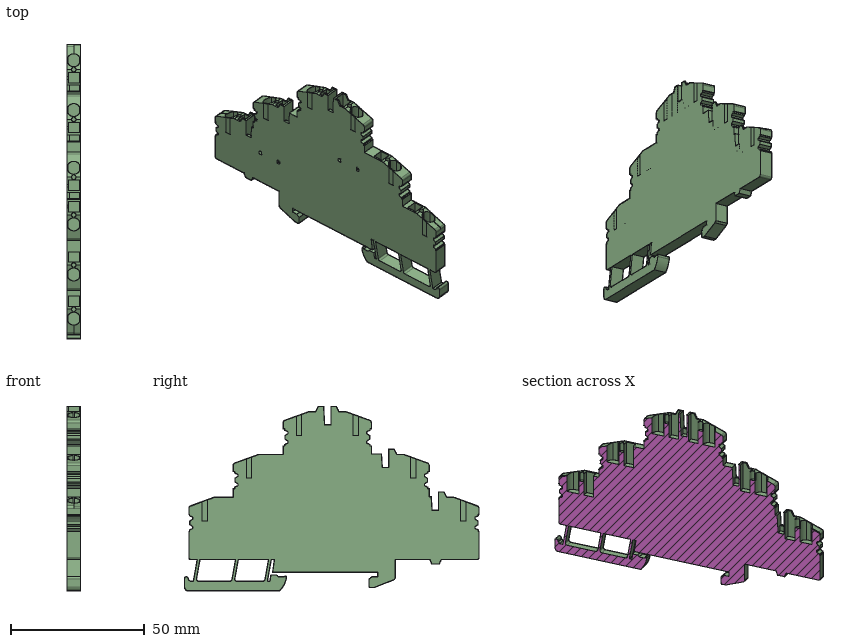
import cadquery as cq


THICKNESS = 5.1
LENGTH = 110.2
HEIGHT = 69.0
HALF_LENGTH = LENGTH / 2

BUMP_HEIGHT = 2.0
TIER_PITCH = 16.0
TIER_TOPS = [HEIGHT - BUMP_HEIGHT - TIER_PITCH * step for step in (2, 1, 0)]
LEFT_BREAKS = [45.6, 27.0, 5.4]
RIGHT_BREAKS = [-44.0, -27.4, -8.7]

SLOPE_RUN = 9.5
SLOPE_DROP = 3.4
TIER_CORNER_RADIUS = 1.1

TOOTH_DROP = 9.6
TOOTH_TIP_HALF = 0.7
TOOTH_ROOT_HALF = 1.4
GROOVE_HALF = 2.1
STEP_HALF = 2.6
MOUTH_HALF = 3.2
STEP_INSET = 0.5
TOOTH_INSET = 0.7
GROOVE_DEPTH = 1.8
BOTTOM_TIER_SHIFT = 0.3

BUMP_START = 2.6
BUMP_SHOULDER = 3.6
BUMP_END = 5.7
SLOT_DEPTH = 6.8
SLOT_WIDTH = 2.3
SLOT_FLARE = 0.3
WALL_FOOT_RISE = 0.2

BASE_Z = 11.7
BODY_BOTTOM_Z = 6.9
BASE_CORNER_RADIUS = 0.8
RIGHT_END_Y = RIGHT_BREAKS[0] - SLOPE_RUN

RAIL_TOP_Z = 3.6
LEG_TOPS = [-22.6, -34.9, -49.2]
LEG_LEAN = 1.4
LEG_WIDTH = 1.1
WINDOW_FILLET = 0.8
SELECT_MARGIN = 0.1

ENTRY_WIDTH = 4.4
ENTRY_DIAMETER = 4.8
ENTRY_OFFSET = 3.5
ENTRY_DEPTH = 8.8
TEST_HOLE_DIAMETER = 1.7
TEST_HOLE_DEPTH = 3.3
SLIT_WIDTH = 0.4
POCKET_START = 1.1
POCKET_LENGTH = 3.9
POCKET_DEPTH = 8.8
POCKET_X_MIN = -1.9
POCKET_X_MAX = 2.1
SLOT_POCKET_X_MIN = -1.5
SLOT_POCKET_DEPTH = 2.2

STEEP_X_MIN = 0.1
STEEP_DROP = 3.6
STEEP_CORNER_RADIUS = 0.8

RECESS_RADIUS = 0.7
RECESS_DEPTH = 1.1
RECESS_PAIRS = [(28.5, 25.2), (-10.4, 41.2)]
RECESS_SPACING = 8.9
RECESS_FLAT = 0.5


def tier_end(break_y, top, outward, groove_shift):
    """Outer end of a tier from below its grooves up to its break; outward is +1 or -1."""
    edge = SLOPE_RUN
    groove = edge - GROOVE_DEPTH + groove_shift
    tooth = edge - TOOTH_INSET + groove_shift
    step = edge - STEP_INSET + groove_shift
    half_grip = [
        (edge, MOUTH_HALF),
        (step, MOUTH_HALF),
        (step, STEP_HALF),
        (groove, GROOVE_HALF),
        (groove, TOOTH_ROOT_HALF),
        (tooth, TOOTH_TIP_HALF),
    ]
    run_and_drop = [(run, TOOTH_DROP + offset) for run, offset in half_grip]
    run_and_drop += [(run, TOOTH_DROP - offset) for run, offset in reversed(half_grip)]
    run_and_drop += [(edge, SLOPE_DROP), (0, 0)]
    return [(break_y + outward * run, top - drop) for run, drop in run_and_drop]


def bump(break_y, top, outward):
    """Raised bump beside a slot, from its foot to the slot wall."""
    return [
        (break_y - outward * BUMP_START, top),
        (break_y - outward * BUMP_SHOULDER, top + BUMP_HEIGHT),
        (break_y - outward * BUMP_END, top + BUMP_HEIGHT),
    ]


def slot_wall_y(break_y):
    """Y of the slot wall that belongs to the bump of a left-hand tier."""
    return break_y - BUMP_END


def slot_floor_z(top):
    """Height of the slot floor beside a tier shelf."""
    return top + BUMP_HEIGHT - SLOT_DEPTH


def left_side():
    """Outline from the left base corner up over the three tiers to the floor of the top slot."""
    points = [(HALF_LENGTH, BASE_Z)]
    for level, (break_y, top) in enumerate(zip(LEFT_BREAKS, TIER_TOPS)):
        points += tier_end(break_y, top, 1, BOTTOM_TIER_SHIFT if level == 0 else 0)
        points += bump(break_y, top, 1)
        wall_y = slot_wall_y(break_y)
        slot_floor = slot_floor_z(top)
        points += [(wall_y, slot_floor), (wall_y - SLOT_WIDTH, slot_floor)]
        if level < len(TIER_TOPS) - 1:
            foot_z = top + WALL_FOOT_RISE
            points.append((wall_y - SLOT_WIDTH - SLOT_FLARE, foot_z))
            points.append((LEFT_BREAKS[level + 1] + SLOPE_RUN, foot_z))
    return points


def right_side():
    """Outline from the right wall of the top slot down over the three tiers to the right base corner."""
    points = bump(RIGHT_BREAKS[-1], TIER_TOPS[-1], -1)[::-1]
    for level in reversed(range(len(TIER_TOPS))):
        shift = BOTTOM_TIER_SHIFT if level == 0 else 0
        points += tier_end(RIGHT_BREAKS[level], TIER_TOPS[level], -1, shift)[::-1]
        if level > 0:
            points.append((RIGHT_BREAKS[level] - SLOPE_RUN, TIER_TOPS[level - 1]))
    points.append((RIGHT_END_Y, BASE_Z))
    return points


def underside():
    """Bottom edge from the right end to the left: body step, fixed hook and locating lug."""
    return [
        (-21.5, BASE_Z), (-22.1, BODY_BOTTOM_Z),
        (17.2, BODY_BOTTOM_Z), (17.2, 5.3), (15.0, 5.3), (13.9, 4.3), (13.9, 1.5),
        (14.2, 1.2), (15.9, 1.2), (23.1, 4.1), (23.8, 4.7), (23.8, BASE_Z),
        (36.7, BASE_Z), (37.3, 10.0), (40.2, 10.0), (41.0, BASE_Z),
    ]


def plate(points, x_min=-THICKNESS / 2, x_max=THICKNESS / 2):
    """Prism over a closed YZ polygon between two X positions."""
    return cq.Workplane("YZ").workplane(offset=x_min).polyline(points).close().extrude(x_max - x_min)


def rail_foot():
    """Sprung rail latch with its two end hooks."""
    return (
        cq.Workplane("YZ")
        .workplane(offset=-THICKNESS / 2)
        .moveTo(-19.5, 0)
        .threePointArc((-18.0, 2.0), (-17.0, 4.5))
        .lineTo(-17.0, 5.4)
        .lineTo(-17.4, 5.6)
        .lineTo(-17.8, 5.3)
        .lineTo(-19.9, 5.3)
        .lineTo(-20.6, 6.0)
        .lineTo(-22.8, 6.0)
        .lineTo(-23.1, RAIL_TOP_Z)
        .lineTo(-52.9, RAIL_TOP_Z)
        .lineTo(-53.5, 4.2)
        .lineTo(-53.6, 4.6)
        .threePointArc((-54.3, 5.3), (-HALF_LENGTH, 4.5))
        .lineTo(-HALF_LENGTH, 1.4)
        .threePointArc((-54.7, 0.5), (-54.0, 0))
        .close()
        .extrude(THICKNESS)
    )


def leg(top_y):
    """Leaning spring leg between the body and the rail foot."""
    bottom_y = top_y - LEG_LEAN
    return plate([
        (top_y, BASE_Z), (bottom_y, RAIL_TOP_Z),
        (bottom_y - LEG_WIDTH, RAIL_TOP_Z), (top_y - LEG_WIDTH, BASE_Z),
    ])


def round_corners(solid, corners, radius):
    """Round the X-parallel edges nearest to the given (x, y, z) points."""
    for corner in corners:
        edge = cq.selectors.NearestToPointSelector(corner)
        solid = solid.edges("|X").edges(edge).fillet(radius)
    return solid


def steep_slope_cut(break_y, outward):
    """Material removed from the +X half of a bottom-tier end above its steeper, rounded slope."""
    top = TIER_TOPS[0]
    edge_y = break_y + outward * SLOPE_RUN
    corner_z = top - STEEP_DROP
    low_z = corner_z - 2 * STEEP_CORNER_RADIUS
    kept = plate([(break_y, top), (edge_y, corner_z), (edge_y, low_z), (break_y, low_z)], STEEP_X_MIN)
    kept = round_corners(kept, [(THICKNESS / 4, edge_y, corner_z)], STEEP_CORNER_RADIUS)
    region = plate([(break_y, top), (edge_y, top), (edge_y, low_z), (break_y, low_z)], STEEP_X_MIN)
    return region.cut(kept)


def box_between(x_limits, y_limits, z_limits):
    """Box from its limits along X, Y and Z, each given as (low, high)."""
    limits = (x_limits, y_limits, z_limits)
    sizes = [high - low for low, high in limits]
    corner = tuple(low for low, high in limits)
    return cq.Workplane("XY").box(*sizes, centered=False).translate(corner)


def tier_openings(break_y, top, outward):
    """Wire entry, test hole on the break with its slit, and square pocket of one tier end."""
    entry = (
        cq.Workplane("XY", origin=(0, break_y + outward * ENTRY_OFFSET, top - ENTRY_DEPTH))
        .circle(ENTRY_DIAMETER / 2)
        .extrude(ENTRY_DEPTH)
        .intersect(cq.Workplane("XY").box(ENTRY_WIDTH, 2 * LENGTH, 2 * LENGTH))
    )
    test_hole = (
        cq.Workplane("XY", origin=(0, break_y, top - TEST_HOLE_DEPTH))
        .circle(TEST_HOLE_DIAMETER / 2)
        .extrude(TEST_HOLE_DEPTH)
    )
    entry_y = break_y + outward * ENTRY_OFFSET
    slit = box_between(
        (-SLIT_WIDTH / 2, SLIT_WIDTH / 2),
        (min(break_y, entry_y), max(break_y, entry_y)),
        (top - TEST_HOLE_DEPTH, top),
    )
    near_y = break_y - outward * POCKET_START
    far_y = near_y - outward * POCKET_LENGTH
    pocket = box_between(
        (POCKET_X_MIN, POCKET_X_MAX),
        (min(near_y, far_y), max(near_y, far_y)),
        (top - POCKET_DEPTH, top + BUMP_HEIGHT),
    )
    return [entry, test_hole, slit, pocket]


def slot_pocket(break_y, top):
    """Pocket sunk into the floor of a screwdriver slot."""
    wall_y = slot_wall_y(break_y)
    floor = slot_floor_z(top)
    return box_between(
        (SLOT_POCKET_X_MIN, POCKET_X_MAX),
        (wall_y - SLOT_WIDTH, wall_y),
        (floor - SLOT_POCKET_DEPTH, floor),
    )


def recess(center_y, center_z, round_side):
    """D-shaped blind recess in the -X face, rounded towards round_side along Y."""
    flat_y = center_y - round_side * RECESS_FLAT
    tip_y = center_y + round_side * RECESS_RADIUS
    return (
        cq.Workplane("YZ")
        .workplane(offset=-THICKNESS / 2)
        .moveTo(flat_y, center_z - RECESS_RADIUS)
        .lineTo(center_y, center_z - RECESS_RADIUS)
        .threePointArc((tip_y, center_z), (center_y, center_z + RECESS_RADIUS))
        .lineTo(flat_y, center_z + RECESS_RADIUS)
        .close()
        .extrude(RECESS_DEPTH)
    )


result = plate(left_side() + right_side() + underside())
tier_corners = [
    (0, break_y + outward * SLOPE_RUN, top - SLOPE_DROP)
    for break_list, outward in ((LEFT_BREAKS, 1), (RIGHT_BREAKS, -1))
    for break_y, top in zip(break_list, TIER_TOPS)
]
result = round_corners(result, tier_corners, TIER_CORNER_RADIUS)
base_corners = [(0, HALF_LENGTH, BASE_Z), (0, RIGHT_END_Y, BASE_Z)]
result = round_corners(result, base_corners, BASE_CORNER_RADIUS)
for break_y, outward in ((LEFT_BREAKS[0], 1), (RIGHT_BREAKS[0], -1)):
    result = result.cut(steep_slope_cut(break_y, outward))
foot = rail_foot()
for top_y in LEG_TOPS:
    foot = foot.union(leg(top_y))
result = result.union(foot)

window_corners = cq.selectors.BoxSelector(
    (-THICKNESS, LEG_TOPS[-1] - LEG_LEAN - LEG_WIDTH / 2, RAIL_TOP_Z - SELECT_MARGIN),
    (THICKNESS, LEG_TOPS[0] - LEG_LEAN - LEG_WIDTH / 2, RAIL_TOP_Z + SELECT_MARGIN),
)
result = result.edges("|X").edges(window_corners).fillet(WINDOW_FILLET)

for break_list, outward in ((LEFT_BREAKS, 1), (RIGHT_BREAKS, -1)):
    for break_y, top in zip(break_list, TIER_TOPS):
        for opening in tier_openings(break_y, top, outward):
            result = result.cut(opening)
for break_y, top in zip(LEFT_BREAKS, TIER_TOPS):
    result = result.cut(slot_pocket(break_y, top))

for pair_y, pair_z in RECESS_PAIRS:
    for side in (1, -1):
        result = result.cut(recess(pair_y + side * RECESS_SPACING / 2, pair_z, side))